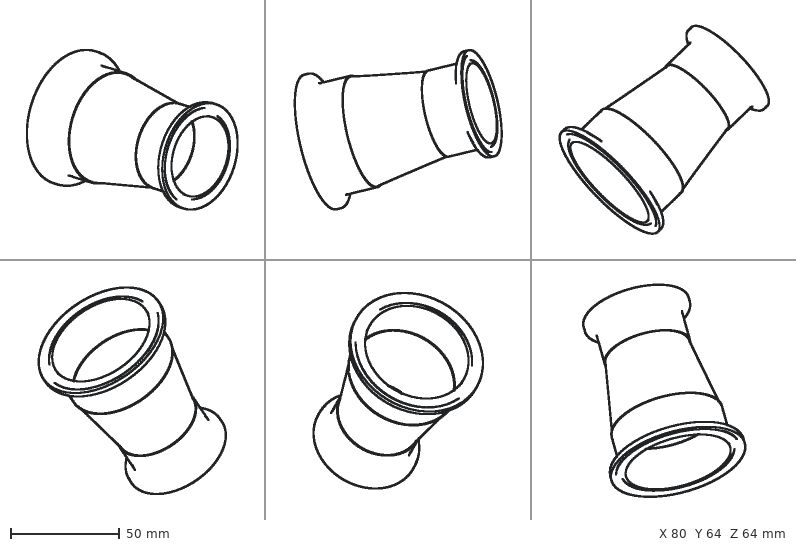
import cadquery as cq
import math

TOTAL_LENGTH = 80
FERRULE_LENGTH = 21.5
HALF_LENGTH = TOTAL_LENGTH / 2
REDUCER_HALF_LENGTH = HALF_LENGTH - FERRULE_LENGTH

LARGE_RIM_DIAMETER = 64
LARGE_BORE_DIAMETER = 50.0
LARGE_GROOVE_DIAMETER = 56.3
SMALL_RIM_DIAMETER = 50.5
SMALL_BORE_DIAMETER = 38.0
SMALL_GROOVE_DIAMETER = 43.5
WALL = 1.48
REDUCER_STEP = 0.4

RIM_THICKNESS = 2.8
CONE_ANGLE = math.radians(20)
RIM_FILLET = 1.0
ROOT_FILLET = 1.9

GROOVE_HALF_WIDTH = 2.0
GROOVE_DEPTH = 1.6
GROOVE_ARC_SUM = (GROOVE_DEPTH**2 + GROOVE_HALF_WIDTH**2) / (2 * GROOVE_DEPTH)
LIP_RADIUS = 0.8
GROOVE_RADIUS = GROOVE_ARC_SUM - LIP_RADIUS


def revolve_about_x(profile):
    """Turn an (x, radius) outline in the XY plane into a full ring."""
    return profile.close().revolve(360, (0, 0, 0), (1, 0, 0))


def add_gasket_groove(profile, groove_radius):
    """Run the outline inward along the face x = 0 and across the groove."""
    blend_x = GROOVE_DEPTH * LIP_RADIUS / GROOVE_ARC_SUM
    blend_offset = GROOVE_HALF_WIDTH * GROOVE_RADIUS / GROOVE_ARC_SUM
    outer_edge = groove_radius + GROOVE_HALF_WIDTH
    inner_edge = groove_radius - GROOVE_HALF_WIDTH
    return (
        profile.lineTo(0, outer_edge)
        .tangentArcPoint((blend_x, groove_radius + blend_offset), relative=False)
        .threePointArc((GROOVE_DEPTH, groove_radius), (blend_x, groove_radius - blend_offset))
        .tangentArcPoint((0, inner_edge), relative=False)
    )


def make_ferrule(rim_diameter, bore_diameter, groove_diameter):
    """Clamp ferrule with its face at x = 0 and its tube running toward +X."""
    rim = rim_diameter / 2
    bore = bore_diameter / 2
    tube = bore + WALL

    half_turn = math.pi / 4 - CONE_ANGLE / 2
    rim_setback = RIM_FILLET * math.tan(half_turn)
    root_setback = ROOT_FILLET * math.tan(half_turn)
    root_x = RIM_THICKNESS + (rim - tube) * math.tan(CONE_ANGLE)
    along_x = math.sin(CONE_ANGLE)
    along_radius = math.cos(CONE_ANGLE)

    profile = (
        cq.Workplane("XY")
        .moveTo(0, bore)
        .lineTo(FERRULE_LENGTH, bore)
        .lineTo(FERRULE_LENGTH, tube)
        .lineTo(root_x + root_setback, tube)
        .tangentArcPoint(
            (root_x - root_setback * along_x, tube + root_setback * along_radius), relative=False
        )
        .lineTo(RIM_THICKNESS + rim_setback * along_x, rim - rim_setback * along_radius)
        .tangentArcPoint((RIM_THICKNESS - rim_setback, rim), relative=False)
        .lineTo(0, rim)
    )
    return revolve_about_x(add_gasket_groove(profile, groove_diameter / 2))


def make_reducer():
    """Conical tube between the ferrules, set slightly inward of their tubes."""
    large_bore = LARGE_BORE_DIAMETER / 2 - REDUCER_STEP
    small_bore = SMALL_BORE_DIAMETER / 2 - REDUCER_STEP
    return revolve_about_x(
        cq.Workplane("XY")
        .moveTo(-REDUCER_HALF_LENGTH, large_bore)
        .lineTo(-REDUCER_HALF_LENGTH, large_bore + WALL)
        .lineTo(REDUCER_HALF_LENGTH, small_bore + WALL)
        .lineTo(REDUCER_HALF_LENGTH, small_bore)
    )


large_ferrule = make_ferrule(
    LARGE_RIM_DIAMETER, LARGE_BORE_DIAMETER, LARGE_GROOVE_DIAMETER
).translate((-HALF_LENGTH, 0, 0))
reducer = make_reducer()
small_ferrule = (
    make_ferrule(SMALL_RIM_DIAMETER, SMALL_BORE_DIAMETER, SMALL_GROOVE_DIAMETER)
    .rotate((0, 0, 0), (0, 0, 1), 180)
    .translate((HALF_LENGTH, 0, 0))
)

result = cq.Compound.makeCompound([large_ferrule.val(), reducer.val(), small_ferrule.val()])